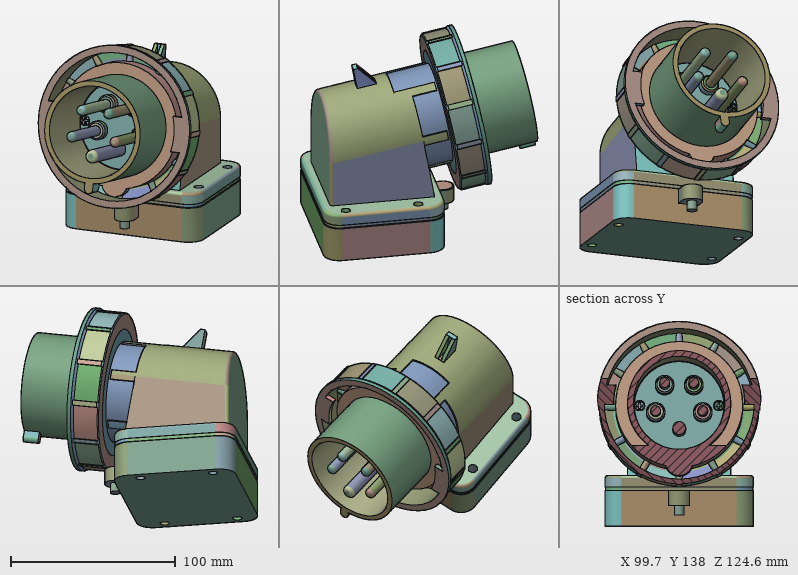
import cadquery as cq
import math


overall_length = 138.0
overlap = 1.4

box_width = 90.1
box_depth = 74.8
box_height = 30.9
box_corner_radius = 10.1
lid_edge_radius = 1.7
gasket_bottom = 22.0
gasket_top = 24.0
gasket_inset = 0.3
lower_edge_drop = 0.8
mount_hole_diameter = 5.5
mount_hole_x = 38.9
mount_hole_y_positions = (24.2, -20.7)

tab_width = 12.8
tab_length = 12.8
tab_bottom = 12.5
tab_pin_diameter = 6.0
tab_pin_bottom = 6.9

tilt = 10.0
ring_front_z = 75.5

elbow_radius = 63.0 / 2
elbow_front = -35.9
elbow_back_y = 32.3
elbow_back_round = 2.0
elbow_length = 96.6
elbow_leg = 82.8
box_overlap = 4.1

sleeve_radius = 61.0 / 2
window_back = -46.1
window_half_width = 13.7
strip_front = -20.7
corner_strip_height = 25.4
side_strip_half_height = 3.0

flange_radius = 38.6
flange_front = -7.0
flange_back = -19.5
lobe_radius = 8.4
lobe_centre_y = -35.2
lobe_back = -12.4

barrel_radius = elbow_radius
barrel_front = 33.7
bore_mouth_radius = 28.3
bore_floor_radius = 27.6
bore_floor = -11.7
insert_radius = 27.2
seam_depth = 0.8
key_width = 5.5
key_tip_y = -37.7
key_back = 24.2

tilt_angle = math.radians(tilt)
key_reach = barrel_front * math.cos(tilt_angle) - key_tip_y * math.sin(tilt_angle)
ring_front_y = box_depth / 2 + key_reach - overall_length

contact_count = 5
contact_circle_radius = 15.0
contact_tip = 33.4
contact_diameter = 6.2
contact_round = 2.2
earth_diameter = 8.0
earth_round = 2.2
collar_diameter = 11.3
collar_height = 5.1
collar_chamfer = 1.0

screw_x = 24.0
screw_well_diameter = 6.2
screw_well_depth = 2.1
screw_head_diameter = 5.5
screw_head_height = 1.4
screw_slot_depth = 1.1
screw_slot_length = 3.6
screw_slot_width = 1.1

cleat_width = 6.6
cleat_back = -66.5
cleat_land = 2.8
cleat_front = -54.4
cleat_top = 44.6
cleat_slot_width = 2.1
cleat_root = elbow_radius - overlap

ring_radius = 99.7 / 2
ring_body_radius = 48.6
ring_bore_radius = 90.8 / 2
ring_rim = 2.3
ring_rim_slope = 1.5
ring_back = -19.5
ring_back_radius = 47.9
ring_wall_outer = -17.0
ring_wall_inner = -18.2
ring_wall_inner_radius = 40.0
rib_count = 12
grip_rib_radius = 49.1
grip_rib_width = 3.2
inner_rib_diameter = 4.1
lug_half_height = 10.9
lug_inner_radius = 39.7
lug_thickness = 2.8


def tilted(body):
    """Tilt a body built around the vertical axis and move it to the plug axis."""
    return body.rotate((0, 0, 0), (1, 0, 0), 90 - tilt).translate((0, ring_front_y, ring_front_z))


def cylinder(radius, bottom, top, x=0, y=0):
    return cq.Workplane("XY").workplane(offset=bottom).center(x, y).circle(radius).extrude(top - bottom)


def block(x_min, x_max, y_min, y_max, z_min, z_max):
    return cq.Workplane("XY").box(
        x_max - x_min, y_max - y_min, z_max - z_min, centered=False
    ).translate((x_min, y_min, z_min))


def revolved(points):
    """Revolve a (radius, height) outline around the vertical axis."""
    return cq.Workplane("XZ").polyline(points).close().revolve(360, (0, 0), (0, 1))


def box_layer(bottom, top, inset=0.0):
    return (
        cq.Workplane("XY").workplane(offset=bottom)
        .rect(box_width - 2 * inset, box_depth - 2 * inset)
        .extrude(top - bottom)
        .edges("|Z").fillet(box_corner_radius - inset)
    )


def make_box():
    lower = box_layer(0, gasket_bottom).union(make_tab())
    lower = lower.faces(">Z").edges().chamfer(lower_edge_drop, gasket_inset)
    gasket = box_layer(gasket_bottom, gasket_top, gasket_inset)
    lid = box_layer(gasket_top, box_height).faces(">Z").edges().fillet(lid_edge_radius)
    return lower.union(gasket).union(lid)


def make_tab():
    nose_radius = tab_width / 2
    nose_y = -box_depth / 2 - tab_length + nose_radius
    arm = block(-nose_radius, nose_radius, nose_y, -box_depth / 2 + overlap, tab_bottom, gasket_bottom)
    nose = cylinder(nose_radius, tab_bottom, gasket_bottom, 0, nose_y)
    pin = cylinder(tab_pin_diameter / 2, tab_pin_bottom, gasket_bottom, 0, nose_y)
    return arm.union(nose).union(pin)


def make_mount_holes():
    centres = [(side * mount_hole_x, y) for side in (-1, 1) for y in mount_hole_y_positions]
    return cq.Workplane("XY").pushPoints(centres).circle(mount_hole_diameter / 2).extrude(box_height)


def make_strip_zones():
    """Angular zones, to either side and at the four corners, where the elbow surface runs on forward."""
    zones = block(-2 * elbow_radius, 2 * elbow_radius, -side_strip_half_height, side_strip_half_height,
                  elbow_front, strip_front)
    corner_angle = math.asin(corner_strip_height / elbow_radius)
    reach = 2 * elbow_radius
    corner = (
        cq.Workplane("XY").workplane(offset=elbow_front)
        .polyline([
            (window_half_width, window_half_width * math.tan(corner_angle)),
            (reach * math.cos(corner_angle), reach * math.sin(corner_angle)),
            (window_half_width, reach * math.sin(corner_angle)),
        ]).close()
        .extrude(strip_front - elbow_front)
    )
    top_corners = corner.union(corner.mirror("YZ"))
    return zones.union(top_corners).union(top_corners.mirror("XZ"))


def make_front_windows():
    """Shallow windows between the strips, down to the sleeve surface."""
    layer = cylinder(elbow_radius + overlap, elbow_front, strip_front)
    return layer.cut(cylinder(sleeve_radius, elbow_front, strip_front)).cut(make_strip_zones())


def make_top_window():
    """The top window reaches further back than the others."""
    window = block(-window_half_width, window_half_width, 0, 2 * elbow_radius, window_back, strip_front)
    return window.cut(cylinder(sleeve_radius, window_back, strip_front))


def make_elbow():
    """Cylinder along the plug axis with flat flanks below it and strips around its front."""
    elbow_end = elbow_front - elbow_length
    tube = cylinder(elbow_radius, elbow_end, strip_front)
    flanks = block(-elbow_radius, elbow_radius, -elbow_leg, 0, elbow_end, elbow_front)
    return tube.cut(make_front_windows()).union(flanks).cut(make_top_window())


def make_flange():
    disc = cylinder(flange_radius, flange_back, flange_front)
    lobe = cylinder(lobe_radius, lobe_back, flange_front, 0, lobe_centre_y)
    return disc.union(lobe)


def make_barrel():
    barrel = cylinder(barrel_radius, flange_front, barrel_front)
    key_centre_y = key_tip_y + key_width / 2
    key = block(-key_width / 2, key_width / 2, key_centre_y, -barrel_radius + overlap, key_back, barrel_front)
    key_tip = cylinder(key_width / 2, key_back, barrel_front, 0, key_centre_y)
    return barrel.union(key).union(key_tip)


def make_bore():
    return revolved([
        (0, bore_floor), (insert_radius, bore_floor), (insert_radius, bore_floor - seam_depth),
        (bore_floor_radius, bore_floor - seam_depth), (bore_floor_radius, bore_floor),
        (bore_mouth_radius, barrel_front), (0, barrel_front),
    ])


def make_contacts():
    """Earth contact at the bottom of the circle, four collared contacts at equal steps around it."""
    contacts = cq.Workplane("XY")
    for index in range(contact_count):
        angle = math.radians(-90 + index * 360 / contact_count)
        x = contact_circle_radius * math.cos(angle)
        y = contact_circle_radius * math.sin(angle)
        if index == 0:
            pin = cylinder(earth_diameter / 2, bore_floor, contact_tip, x, y)
            pin = pin.faces(">Z").edges().fillet(earth_round)
        else:
            pin = cylinder(contact_diameter / 2, bore_floor, contact_tip, x, y)
            pin = pin.faces(">Z").edges().fillet(contact_round)
            collar = cylinder(collar_diameter / 2, bore_floor, bore_floor + collar_height, x, y)
            pin = pin.union(collar.faces(">Z").edges().chamfer(collar_chamfer))
        contacts = contacts.add(pin)
    return contacts.combine()


def make_screw_space(x):
    """Round well in the insert, around a screw head with a cross slot."""
    well_floor = bore_floor - screw_well_depth
    head_top = well_floor + screw_head_height
    well = cylinder(screw_well_diameter / 2, well_floor, bore_floor, x)
    head = cylinder(screw_head_diameter / 2, well_floor, head_top, x)
    half_length = screw_slot_length / 2
    half_width = screw_slot_width / 2
    slot_floor = head_top - screw_slot_depth
    head = head.cut(block(x - half_length, x + half_length, -half_width, half_width, slot_floor, head_top))
    head = head.cut(block(x - half_width, x + half_width, -half_length, half_length, slot_floor, head_top))
    return well.cut(head)


def make_cleat():
    """Hook with an upright back, a sloping front and a slot that splits the slope."""
    wedge = (
        cq.Workplane("YZ")
        .polyline([
            (cleat_root, cleat_back), (cleat_top, cleat_back), (cleat_top, cleat_back + cleat_land),
            (elbow_radius, cleat_front), (cleat_root, cleat_front),
        ]).close()
        .extrude(cleat_width / 2, both=True)
    )
    slot = block(-cleat_slot_width / 2, cleat_slot_width / 2, elbow_radius, cleat_top,
                 cleat_back + cleat_land, cleat_front)
    return wedge.cut(slot)


def make_plug():
    plug = make_elbow().union(cylinder(sleeve_radius, window_back, flange_back)).union(make_cleat())
    plug = plug.union(make_flange()).union(make_barrel()).cut(make_bore()).union(make_contacts())
    for side in (-1, 1):
        plug = plug.cut(make_screw_space(side * screw_x))
    return plug


def make_housing():
    """Tilted plug, cut off by a vertical back plane and rooted in the box."""
    root_z = box_height - box_overlap
    keep = block(-box_width, box_width, -overall_length, elbow_back_y, root_z, overall_length)
    plug = tilted(make_plug()).intersect(keep)
    plug = plug.faces(">Y").edges().fillet(elbow_back_round)
    return make_box().union(plug).cut(make_mount_holes())


def make_ring_rim():
    slope_back = -ring_rim - ring_rim_slope
    return revolved([
        (0, 0), (ring_radius, 0), (ring_radius, -ring_rim), (ring_body_radius, slope_back), (0, slope_back),
    ])


def ring_drum(radius):
    """Ring body behind the rim, chamfered down to the same radius at the back whatever its own radius."""
    return cylinder(radius, ring_back, -ring_rim).faces("<Z").edges().chamfer(radius - ring_back_radius)


def make_ring_cavity():
    return revolved([
        (0, 0), (ring_bore_radius, 0), (ring_bore_radius, ring_wall_outer),
        (ring_wall_inner_radius, ring_wall_inner), (flange_radius, ring_wall_inner),
        (flange_radius, ring_back), (0, ring_back),
    ])


def make_grip_ribs():
    ribs = cq.Workplane("XY")
    for index in range(rib_count // 2):
        bar = cq.Workplane("XY").box(2 * ring_radius, grip_rib_width, -2 * ring_back)
        ribs = ribs.add(bar.rotate((0, 0, 0), (0, 0, 1), index * 360 / rib_count))
    return ring_drum(grip_rib_radius).intersect(ribs.combine())


def make_inner_ribs():
    """Half-round radial ribs on the ring's back wall."""
    ribs = cq.Workplane("XY")
    length = ring_bore_radius - flange_radius + overlap
    for index in range(rib_count):
        rib = (
            cq.Workplane("YZ").workplane(offset=flange_radius)
            .center(0, ring_wall_inner).circle(inner_rib_diameter / 2).extrude(length)
        )
        ribs = ribs.add(rib.rotate((0, 0, 0), (0, 0, 1), index * 360 / rib_count))
    envelope = cylinder(ring_bore_radius + overlap, ring_back, 0)
    return ribs.combine().intersect(envelope)


def make_lugs():
    """Two bayonet lugs at the sides of the ring mouth."""
    rim = cylinder(ring_bore_radius + overlap, -lug_thickness, 0)
    rim = rim.cut(cylinder(lug_inner_radius, -lug_thickness, 0))
    band = block(-ring_radius, ring_radius, -lug_half_height, lug_half_height, -lug_thickness, 0)
    return rim.intersect(band)


def make_locking_ring():
    outside = make_ring_rim().union(ring_drum(ring_body_radius)).union(make_grip_ribs())
    ring = outside.cut(make_ring_cavity()).union(make_inner_ribs()).union(make_lugs())
    return tilted(ring)


housing = make_housing()
locking_ring = make_locking_ring()

result = cq.Compound.makeCompound([housing.val(), locking_ring.val()])